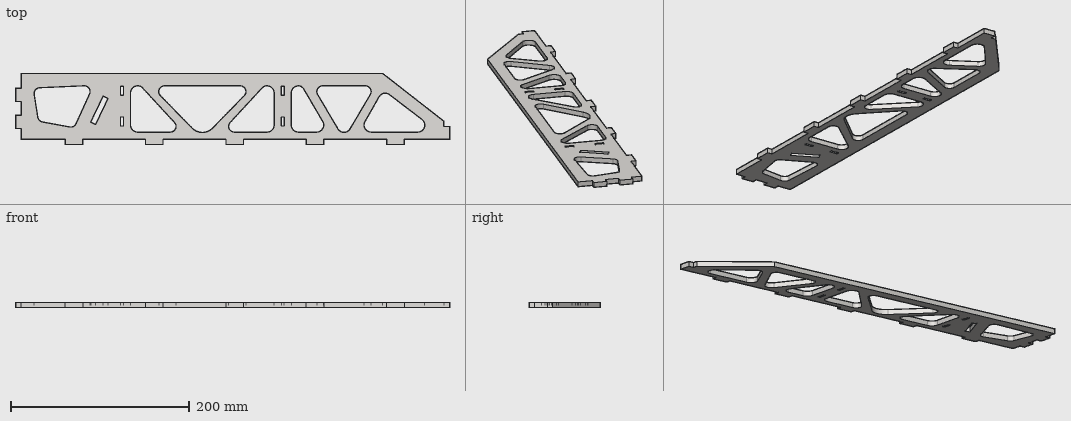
import cadquery as cq

length = 487.0
height = 80.0
thickness = 6.0
body_left = 6.5
body_bottom = thickness

slope_start_x = 411.5
nose_x = 480.0
nose_top = 26.5
step_top = 20.5

bottom_tab_count = 5
bottom_tab_width = 20.0
bottom_tab_pitch = 90.0
bottom_tab_start = 55.5
left_tab_count = 2
left_tab_width = 15.0
left_tab_pitch = 2 * left_tab_width
left_tab_start = 18.0

window_bottom = 14.0
window_top = 65.7
large_radius = 8.0
small_radius = 6.5

vee_center_x = 209.5
vee_half_width = 57.5
vee_tip_y = 7.0
vee_tip_radius = 16.0
flank_half_span = 80.5
flank_top_half_span = 69.0
flank_tip_half_span = 21.5

brace_left_x = 309.2
brace_top_x = 321.0
brace_bottom_x = 351.0
delta_center_x = 368.0
delta_half_width = 35.0
delta_tip_y = 6.5
nose_window_left_x = 385.0
nose_window_right_x = 474.0
nose_window_apex = (412.0, 61.5)

end_window = [(26.0, 26.5), (65.7, 19.0), (87.0, 66.0), (20.0, 63.5)]

upright_slot_width = 3.0
upright_slot_height = 9.5
upright_slot_first_x = 119.5
upright_slot_columns = 2
upright_slot_pitch = 2 * bottom_tab_pitch
upright_slot_centers_y = (26.0, 60.5)
slanted_slot_length = 32.0
slanted_slot_width = thickness
slanted_slot_angle = 64.4
slanted_slot_center = (94.0, 38.5)


def box(left, bottom, width, depth):
    """Full-thickness block placed by its lower left corner."""
    return cq.Workplane("XY").box(width, depth, thickness, centered=False).translate((left, bottom, 0))


def window(corners, radii):
    """Full-thickness polygon prism with its own rounding radius at each corner."""
    prism = cq.Workplane("XY").polyline(corners).close().extrude(thickness)
    for (x, y), radius in zip(corners, radii):
        nearest = cq.selectors.NearestToPointSelector((x, y, thickness / 2))
        prism = prism.edges("|Z").edges(nearest).fillet(radius)
    return prism


def body():
    outline = [
        (body_left, body_bottom),
        (length, body_bottom),
        (length, step_top),
        (nose_x, step_top),
        (nose_x, nose_top),
        (slope_start_x, height),
        (body_left, height),
    ]
    plate = cq.Workplane("XY").polyline(outline).close().extrude(thickness)
    for i in range(bottom_tab_count):
        left = bottom_tab_start + i * bottom_tab_pitch
        plate = plate.union(box(left, 0, bottom_tab_width, body_bottom))
    for i in range(left_tab_count):
        bottom = left_tab_start + i * left_tab_pitch
        plate = plate.union(box(0, bottom, body_left, left_tab_width))
    return plate


def flank_window(side):
    """Right-angled window beside the V; side is -1 for left and +1 for right."""
    corners = [
        (vee_center_x + side * flank_half_span, window_bottom),
        (vee_center_x + side * flank_tip_half_span, window_bottom),
        (vee_center_x + side * flank_top_half_span, window_top),
        (vee_center_x + side * flank_half_span, window_top),
    ]
    return window(corners, [large_radius, small_radius, small_radius, large_radius])


def vee_window(center_x, half_width, tip_y, tip_radius):
    """Symmetric triangle pointing down from the upper chord."""
    corners = [
        (center_x - half_width, window_top),
        (center_x + half_width, window_top),
        (center_x, tip_y),
    ]
    return window(corners, [small_radius, small_radius, tip_radius])


def brace_window():
    corners = [
        (brace_left_x, window_bottom),
        (brace_bottom_x, window_bottom),
        (brace_top_x, window_top),
        (brace_left_x, window_top),
    ]
    return window(corners, [large_radius, large_radius, small_radius, large_radius])


def nose_window():
    corners = [
        (nose_window_left_x, window_bottom),
        (nose_window_right_x, window_bottom),
        nose_window_apex,
    ]
    return window(corners, [large_radius] * len(corners))


def upright_slots():
    centers = [
        (upright_slot_first_x + i * upright_slot_pitch, y)
        for i in range(upright_slot_columns)
        for y in upright_slot_centers_y
    ]
    return (
        cq.Workplane("XY")
        .pushPoints(centers)
        .rect(upright_slot_width, upright_slot_height)
        .extrude(thickness)
    )


def slanted_slot():
    slot = cq.Workplane("XY").rect(slanted_slot_length, slanted_slot_width).extrude(thickness)
    return slot.rotate((0, 0, 0), (0, 0, 1), slanted_slot_angle).translate(slanted_slot_center + (0,))


cutouts = [
    window(end_window, [small_radius] * len(end_window)),
    flank_window(-1),
    vee_window(vee_center_x, vee_half_width, vee_tip_y, vee_tip_radius),
    flank_window(1),
    brace_window(),
    vee_window(delta_center_x, delta_half_width, delta_tip_y, large_radius),
    nose_window(),
    upright_slots(),
    slanted_slot(),
]

result = body()
for cutout in cutouts:
    result = result.cut(cutout)